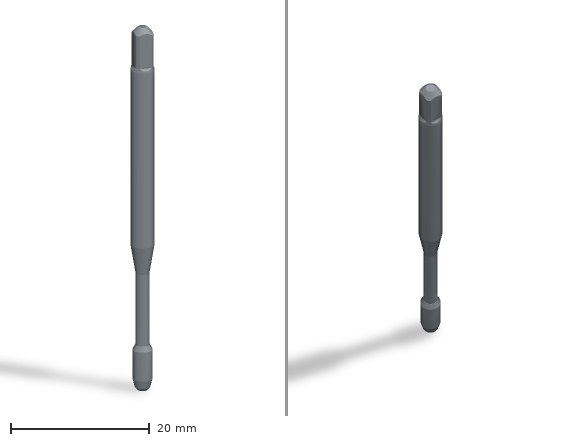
import cadquery as cq

total_length = 56.1

head_diameter = 2.9
head_back_diameter = 2.15
tip_diameter = 1.45
lead_end_diameter = 2.25
tip_chamfer_top = 0.45
lead_top = 1.75
head_land_top = 6.2
head_top = 7.0

neck_diameter = 2.0
shank_diameter = 3.5
taper_bottom = 18.05
taper_top = 22.45
shank_land_top = 49.5
shank_top = 50.15

drive_corner_diameter = 3.25
drive_sides = 4
drive_width = 2.7
flat_bottom = 50.1
drive_end_diameter = 1.35
drive_chamfer = (drive_corner_diameter - drive_end_diameter) / 2


def turned(sections):
    """Revolve (diameter, height) sections about the Z axis."""
    outline = [(diameter / 2, height) for diameter, height in sections]
    bottom = sections[0][1]
    top = sections[-1][1]
    profile = cq.Workplane("XZ").polyline([(0, bottom), *outline, (0, top)]).close()
    return profile.revolve(360, (0, 0, 0), (0, 1, 0))


def make_drive_cutter():
    """Tool for one +X flat: an upright face, then a 45 degree runout sloping outward and down."""
    flat = drive_width / 2
    outside = shank_diameter
    profile = [
        (flat, flat_bottom),
        (flat, total_length),
        (outside, total_length),
        (outside, flat_bottom - (outside - flat)),
    ]
    return cq.Workplane("XZ").polyline(profile).close().extrude(shank_diameter / 2, both=True)


def make_shaft():
    """Neck, tapered shank and square drive in one piece."""
    body = turned([
        (neck_diameter, head_top),
        (neck_diameter, taper_bottom),
        (shank_diameter, taper_top),
        (shank_diameter, shank_land_top),
        (drive_corner_diameter, shank_top),
        (drive_corner_diameter, total_length - drive_chamfer),
        (drive_end_diameter, total_length),
    ])
    cutter = make_drive_cutter()
    for side in range(drive_sides):
        body = body.cut(cutter.rotate((0, 0, 0), (0, 0, 1), side * 360 / drive_sides))
    return body


def make_head():
    """Cutting head with a chamfered tip, a tapered lead and a chamfered back."""
    return turned([
        (tip_diameter, 0),
        (lead_end_diameter, tip_chamfer_top),
        (head_diameter, lead_top),
        (head_diameter, head_land_top),
        (head_back_diameter, head_top),
    ])


shaft = make_shaft()
head = make_head()

result = cq.Compound.makeCompound([shaft.val(), head.val()])